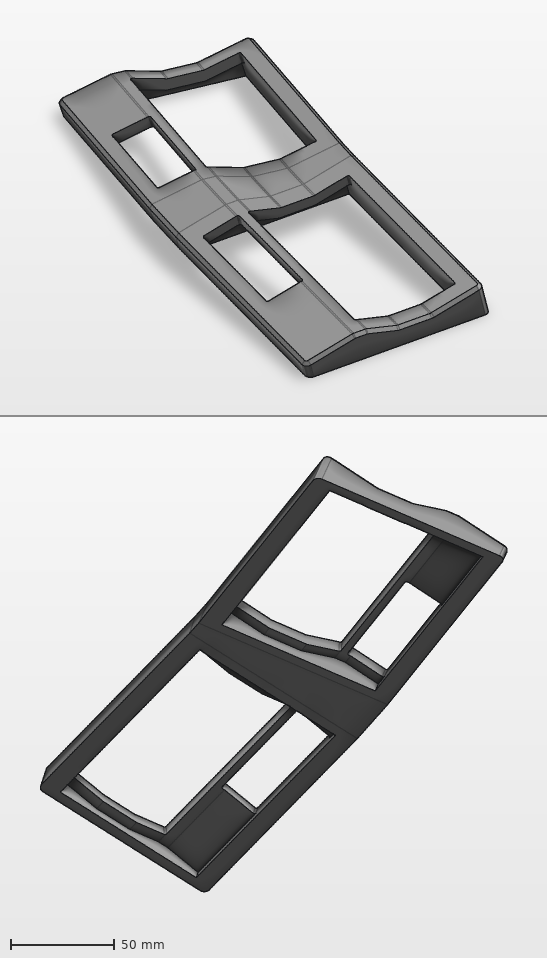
import cadquery as cq
import math


TILT = 5.0
HALF_YAW = 5.0
WING_LENGTH = 116.2
PIVOT_Y = 87.5

SLOPE = 15.0
VALLEY_HEIGHT = 11.8
VALLEY_HALF_WIDTH = 9.5
RAMP_RUN = 18.3
CREST_WIDTH = 7.5
FRONT_RUN = 28.3
BACK_RUN = 28.8
BEND_RADIUS = 3.3
CORNER_RADIUS = 3.0
EDGE_CHAMFER = 1.8

SHELL = 6.2
SIDE_WALL = 5.0
END_MARGIN = 10.0
BRIDGE_MARGIN = 10.0
KEY_BACK_Y = 28.8
KEY_FRONT_Y = -28.8
STRIP_BACK_Y = -34.3
STRIP_FRONT_Y = -54.5
STRIP_START_X = 48.2
WINDOW_RADIUS = 0.9
OVERCUT = 13.0
TOLERANCE = 0.13

RISE = math.tan(math.radians(SLOPE))
SIN_SLOPE = math.sin(math.radians(SLOPE))
COS_SLOPE = math.cos(math.radians(SLOPE))

CREST_HEIGHT = VALLEY_HEIGHT + RAMP_RUN * RISE
CREST_BACK_Y = -VALLEY_HALF_WIDTH - RAMP_RUN
CREST_FRONT_Y = CREST_BACK_Y - CREST_WIDTH
FRONT_Y = CREST_FRONT_Y - FRONT_RUN
FRONT_HEIGHT = CREST_HEIGHT - FRONT_RUN * RISE
BACK_Y = VALLEY_HALF_WIDTH + BACK_RUN
BACK_HEIGHT = VALLEY_HEIGHT + BACK_RUN * RISE

JOINT_X = WING_LENGTH * math.cos(math.radians(TILT))
PIVOT = cq.Vector(JOINT_X, PIVOT_Y, 0)
MIRROR_NORMAL = cq.Vector(math.cos(math.radians(HALF_YAW)), math.sin(math.radians(HALF_YAW)), 0)


def front_top(y):
    """Height of the front slope of the top at y."""
    return CREST_HEIGHT + (y - CREST_FRONT_Y) * RISE


def back_top(y):
    """Height of the back slope of the top at y."""
    return VALLEY_HEIGHT + (y - VALLEY_HALF_WIDTH) * RISE


def down_wall(y, z, level):
    """Follow a wall square to the sloped top from (y, z) to the given level."""
    return (y + (z - level) * RISE, level)


def along_wall(y, z, depth):
    """Go straight into the sloped top at (y, z) by the given depth."""
    return (y + depth * SIN_SLOPE, z - depth * COS_SLOPE)


def top_breaks(depth):
    """Four bends of the top, front to back, offset inward by depth."""
    shift = depth * math.tan(math.radians(SLOPE / 2))
    return [
        (CREST_FRONT_Y + shift, CREST_HEIGHT - depth),
        (CREST_BACK_Y - shift, CREST_HEIGHT - depth),
        (-VALLEY_HALF_WIDTH - shift, VALLEY_HEIGHT - depth),
        (VALLEY_HALF_WIDTH + shift, VALLEY_HEIGHT - depth),
    ]


SHARP_PROFILE = [
    down_wall(FRONT_Y, FRONT_HEIGHT, 0),
    (FRONT_Y, FRONT_HEIGHT),
    *top_breaks(0),
    (BACK_Y, BACK_HEIGHT),
    down_wall(BACK_Y, BACK_HEIGHT, 0),
]
CHAMFERED_PROFILE = [
    SHARP_PROFILE[0],
    along_wall(FRONT_Y, FRONT_HEIGHT, EDGE_CHAMFER),
    (FRONT_Y + EDGE_CHAMFER * COS_SLOPE, FRONT_HEIGHT + EDGE_CHAMFER * SIN_SLOPE),
    *top_breaks(0),
    (BACK_Y - EDGE_CHAMFER * COS_SLOPE, BACK_HEIGHT - EDGE_CHAMFER * SIN_SLOPE),
    along_wall(BACK_Y, BACK_HEIGHT, EDGE_CHAMFER),
    SHARP_PROFILE[-1],
]
STRIP_FRONT_TOP = (STRIP_FRONT_Y, front_top(STRIP_FRONT_Y))
STRIP_BACK_TOP = (STRIP_BACK_Y, front_top(STRIP_BACK_Y))
KEY_BACK_TOP = (KEY_BACK_Y, back_top(KEY_BACK_Y))
CAVITY_PROFILE = [
    down_wall(*STRIP_FRONT_TOP, -OVERCUT),
    along_wall(*STRIP_FRONT_TOP, SHELL),
    *top_breaks(SHELL),
    along_wall(*KEY_BACK_TOP, SHELL),
    down_wall(*KEY_BACK_TOP, -OVERCUT),
]


def section(profile, x):
    """Closed outline of a profile in the plane at x."""
    return cq.Wire.makePolygon([cq.Vector(x, y, z) for y, z in profile], close=True)


def bent_section(profile, x):
    """Outline of an outer profile at x, its four top bends softened."""
    outline = section(profile, x)
    bends = [cq.Vector(x, y, z) for y, z in top_breaks(0)]
    corners = [
        vertex for vertex in outline.Vertices()
        if any((vertex.Center() - bend).Length < TOLERANCE for bend in bends)
    ]
    return outline.fillet2D(BEND_RADIUS, corners)


def prism(outline, length):
    """Extrude an outline along the wing, toward the bridge."""
    return cq.Workplane(cq.Solid.extrudeLinear(outline, [], cq.Vector(length, 0, 0)))


def outer_wing():
    """Solid wing with rounded end corners and a chamfered top rim, plain at the bridge joint."""
    wing = prism(bent_section(SHARP_PROFILE, 0), WING_LENGTH)

    def is_end_corner(edge):
        heights = [vertex.Z for vertex in edge.Vertices()]
        return min(heights) < TOLERANCE and max(heights) > TOLERANCE

    def is_top_rim(edge):
        middle = edge.Center()
        on_end = middle.x < CORNER_RADIUS
        on_front_or_back = min(abs(middle.y - FRONT_Y), abs(middle.y - BACK_Y)) < TOLERANCE
        lowest = min(vertex.Z for vertex in edge.Vertices())
        return lowest > TOLERANCE and (on_end or on_front_or_back) and middle.x < WING_LENGTH - TOLERANCE

    wing = wing.faces("<X").edges().filter(is_end_corner).fillet(CORNER_RADIUS)
    return wing.edges().filter(is_top_rim).chamfer(EDGE_CHAMFER)


def window(profile, x_start):
    """Cutter for one window, its four upright corners rounded."""
    outline = section(profile, x_start)
    cutter = prism(outline, WING_LENGTH - BRIDGE_MARGIN - x_start)
    return cutter.faces("<X or >X").edges("not |Y").fillet(WINDOW_RADIUS)


def windows():
    """Cutters for the large key window and the narrow strip window in front of it."""
    above = BACK_HEIGHT + OVERCUT
    key_window = window(
        [
            (KEY_FRONT_Y, -OVERCUT),
            (KEY_FRONT_Y, above),
            down_wall(*KEY_BACK_TOP, above),
            down_wall(*KEY_BACK_TOP, -OVERCUT),
        ],
        END_MARGIN,
    )
    strip_window = window(
        [
            down_wall(*STRIP_FRONT_TOP, -OVERCUT),
            down_wall(*STRIP_FRONT_TOP, above),
            down_wall(*STRIP_BACK_TOP, above),
            down_wall(*STRIP_BACK_TOP, -OVERCUT),
        ],
        STRIP_START_X,
    )
    return key_window, strip_window


def tilt(shape):
    """Tilt a wing about its lower outer end so that it climbs toward the bridge."""
    return shape.rotate((0, 0, 0), (0, 1, 0), -TILT)


def mirror_wing(shape):
    """Mirror about the upright plane through the middle of the bridge."""
    return shape.mirror(MIRROR_NORMAL, PIVOT)


def bridge():
    """Solid wedge with straight sides joining the two wings."""
    left = tilt(bent_section(CHAMFERED_PROFILE, WING_LENGTH))
    return cq.Workplane(cq.Solid.makeLoft([left, mirror_wing(left)], True))


cavity = prism(section(CAVITY_PROFILE, SIDE_WALL), WING_LENGTH - 2 * SIDE_WALL)
wing = outer_wing().cut(cavity)
for cutter in windows():
    wing = wing.cut(cutter)

left_wing = tilt(wing.val())
result = bridge().union(cq.Workplane(left_wing)).union(cq.Workplane(mirror_wing(left_wing)))